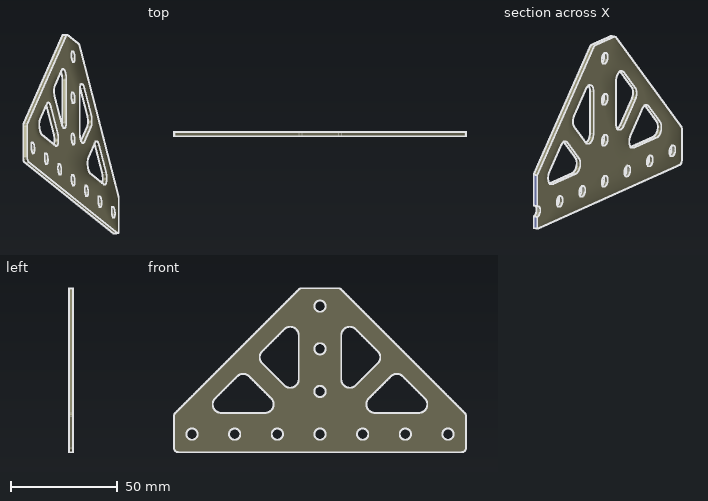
import cadquery as cq

width = 137.0
height = 77.0
thickness = 2.0
top_half_width = 9.3
corner_radius = 2.0
side_height = height - (width / 2 - top_half_width)

hole_diameter = 5.2
hole_pitch = 20.0
row_height = 8.5
holes_each_side = 3
column_holes = 3

window_offset = hole_pitch / 2
window_center = 36.0
window_half_length = 19.9
window_radius = 4.0


def prism(points, radius):
    """Extrude an XZ outline through the plate thickness and round its corners."""
    body = cq.Workplane("XZ").polyline(points).close().extrude(thickness / 2, both=True)
    return body.edges("|Y").fillet(radius)


def plate():
    half_width = width / 2
    outline = [
        (-half_width, 0),
        (half_width, 0),
        (half_width, side_height),
        (top_half_width, height),
        (-top_half_width, height),
        (-half_width, side_height),
    ]
    return prism(outline, corner_radius)


def window(side, upright):
    """Window on one side (-1 left, 1 right), along the hole column if upright, else along the row."""
    triangle = [
        (window_center - window_half_length, window_offset),
        (window_center + window_half_length, window_offset),
        (window_center, window_offset + window_half_length),
    ]
    if upright:
        triangle = [(out, along) for along, out in triangle]
    return prism([(side * x, row_height + z) for x, z in triangle], window_radius)


def bolt_holes():
    row = [(i * hole_pitch, row_height) for i in range(-holes_each_side, holes_each_side + 1)]
    column = [(0, row_height + i * hole_pitch) for i in range(1, column_holes + 1)]
    centers = cq.Workplane("XZ").pushPoints(row + column)
    return centers.circle(hole_diameter / 2).extrude(thickness, both=True)


result = plate().cut(bolt_holes())
for side in (-1, 1):
    for upright in (False, True):
        result = result.cut(window(side, upright))